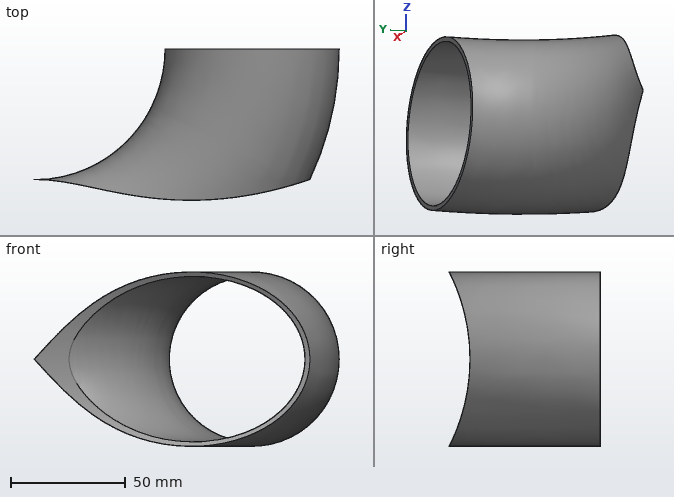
import cadquery as cq

bend_radius = 95.0
pipe_radius = 38.0
wall = 2.0
bend_angle = 90
main_pipe_radius = 84.1
cutter_overhang = 13.3

inner_bend_radius = bend_radius - pipe_radius
outer_bend_radius = bend_radius + pipe_radius
main_axis_y = -(inner_bend_radius + main_pipe_radius)


def bent_pipe():
    """Hollow quarter bend from the flat end at Y = 0 round towards -Y."""
    ring = (
        cq.Workplane("XZ")
        .center(bend_radius, 0)
        .circle(pipe_radius)
        .circle(pipe_radius - wall)
    )
    return ring.revolve(bend_angle, (-bend_radius, 0), (-bend_radius, -1))


def main_pipe():
    """Solid cylinder along X that shapes the saddle end."""
    end_plane = cq.Plane(
        origin=(-cutter_overhang, main_axis_y, 0),
        xDir=(0, -1, 0),
        normal=(1, 0, 0),
    )
    length = outer_bend_radius + 2 * cutter_overhang
    return cq.Workplane(end_plane).circle(main_pipe_radius).extrude(length)


result = bent_pipe().cut(main_pipe())